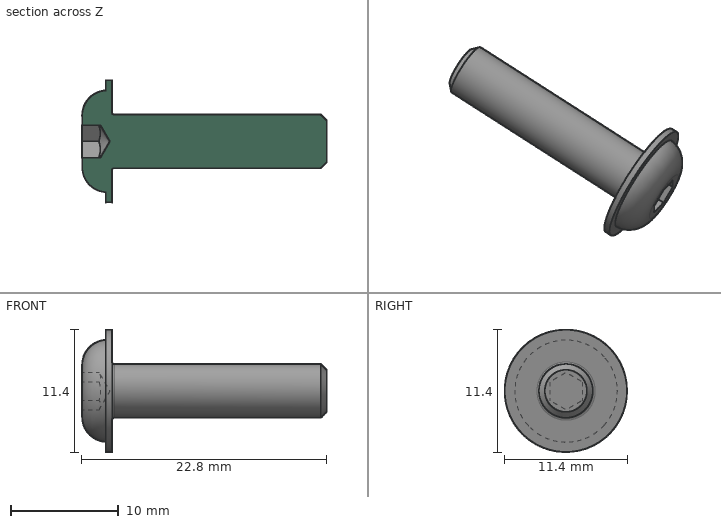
import cadquery as cq
import math

total_length = 22.75
flange_diameter = 11.4
flange_thickness = 0.6
shank_diameter = 5.0

dome_diameter = 9.5
dome_flat_diameter = 4.78
dome_height = 2.2

neck_fillet = 0.2
tip_chamfer = 0.55

socket_across_flats = 3.0
socket_depth = 1.57
socket_cone_angle = 120.0

flange_radius = flange_diameter / 2
shank_radius = shank_diameter / 2
dome_radius = dome_diameter / 2
flat_radius = dome_flat_diameter / 2
head_height = dome_height + flange_thickness
tip_radius = shank_radius - tip_chamfer


def dome_midpoint():
    """Middle of the dome arc, which leaves the flat end face tangentially."""
    rise = dome_radius - flat_radius
    arc_radius = (dome_height**2 + rise**2) / (2 * dome_height)
    half_angle = math.atan2(dome_height, rise)
    return (
        arc_radius * (1 - math.cos(half_angle)),
        flat_radius + arc_radius * math.sin(half_angle),
    )


def make_body():
    """Head, flange and shank revolved about the X axis."""
    neck_offset = neck_fillet * (1 - math.sqrt(0.5))
    neck_midpoint = (head_height + neck_offset, shank_radius + neck_offset)
    profile = (
        cq.Workplane("XY")
        .lineTo(0, flat_radius)
        .threePointArc(dome_midpoint(), (dome_height, dome_radius))
        .lineTo(dome_height, flange_radius)
        .lineTo(head_height, flange_radius)
        .lineTo(head_height, shank_radius + neck_fillet)
        .threePointArc(neck_midpoint, (head_height + neck_fillet, shank_radius))
        .lineTo(total_length - tip_chamfer, shank_radius)
        .lineTo(total_length, tip_radius)
        .lineTo(total_length, 0)
        .close()
    )
    return profile.revolve(360, (0, 0, 0), (1, 0, 0))


def make_socket():
    """Hexagonal cutter with corners on the Z axis, trimmed to a conical end."""
    corner_radius = socket_across_flats / math.sqrt(3)
    cone_depth = corner_radius / math.tan(math.radians(socket_cone_angle / 2))
    hexagon = (
        cq.Workplane("YZ")
        .polygon(6, 2 * corner_radius)
        .extrude(socket_depth + cone_depth)
        .rotate((0, 0, 0), (1, 0, 0), 90)
    )
    drill_shape = (
        cq.Workplane("XY")
        .lineTo(0, corner_radius)
        .lineTo(socket_depth, corner_radius)
        .lineTo(socket_depth + cone_depth, 0)
        .close()
        .revolve(360, (0, 0, 0), (1, 0, 0))
    )
    return hexagon.intersect(drill_shape)


result = make_body().cut(make_socket())